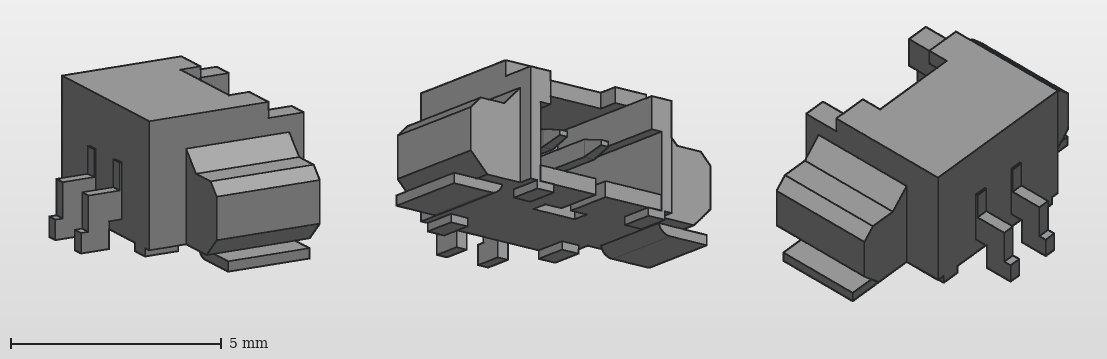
import cadquery as cq


body_width = 4.26
body_depth = 4.2
body_height = 3.2
roof_thickness = 0.4
roof_side_depth = 3.24
roof_middle_depth = 2.69
roof_notch_width = 2.37
wall_top = body_height - roof_thickness

cavity_start = 0.6
floor_thickness = 0.4
cavity_upper_width = 3.06
cavity_lower_width = 3.66
cavity_step_height = 1.97
floor_setback = 0.02

slot_width = 0.29
slot_start = 2.86
slot_cross_width = 1.25
slot_cross_start = 2.4

foot_width = 0.5
foot_depth = 0.9
foot_height = 0.21
foot_center = 1.68

wing_span = 7.26
wing_start = 1.0
wing_end = 3.8
wing_height = 1.88
wing_top_chamfer = 0.3
wing_bottom_chamfer = 0.5
wing_gusset = 0.49

tab_span = 7.65
tab_start = 1.2
tab_end = 3.41
tab_thickness = 0.26
tab_inner = 2.37
tab_bend_radius = 0.34

pin_pitch = 1.25
pin_width = 0.31
pin_top = 1.82
pin_protrusion = 0.05
pin_embed = 0.3
arm_top = 1.13
arm_bottom = 0.41
arm_reach = 0.9
leg_back = 0.34
toe_top = 0.23
toe_reach = 1.1
toe_bottom = -0.28
blade_taper_start = 2.95
blade_tip = 3.55
blade_tip_width = 0.22
blade_height = 0.44
blade_tip_height = 0.13


def block(x_range, y_range, z_range):
    """Axis-aligned box between the given limits."""
    (x0, x1), (y0, y1), (z0, z1) = x_range, y_range, z_range
    return cq.Workplane("XY").box(x1 - x0, y1 - y0, z1 - z0, centered=False).translate((x0, y0, z0))


def centered_block(width, y_range, z_range):
    """Box of the given width, symmetric about X = 0."""
    return block((-width / 2, width / 2), y_range, z_range)


def both_sides(feature):
    """The feature together with its mirror image across X = 0."""
    return feature.union(feature.mirror("YZ"))


def extrude_along_y(profile, y_start, y_end):
    """Extrude an XZ profile between two Y positions."""
    return profile.extrude(y_start - y_end).translate((0, y_start, 0))


def make_shell():
    """Housing block with its stepped roof, before the cavity is cut."""
    walls = centered_block(body_width, (0, body_depth), (0, wall_top))
    roof_z = (wall_top, body_height)
    roof = centered_block(body_width, (0, roof_side_depth), roof_z)
    notch = centered_block(roof_notch_width, (roof_middle_depth, roof_side_depth), roof_z)
    return walls.union(roof.cut(notch))


def make_cavity():
    """Mating cavity, wider below the step, with the floor edge set back."""
    cavity_y = (cavity_start, body_depth)
    lower = centered_block(cavity_lower_width, cavity_y, (floor_thickness, cavity_step_height))
    upper = centered_block(cavity_upper_width, cavity_y, (cavity_step_height, wall_top))
    setback_y = (body_depth - floor_setback, body_depth)
    setback = centered_block(cavity_lower_width, setback_y, (0, floor_thickness))
    return lower.union(upper).union(setback)


def make_floor_slot():
    """T-shaped opening through the cavity floor."""
    floor_z = (0, floor_thickness)
    stem = centered_block(slot_width, (slot_start, body_depth), floor_z)
    cross = centered_block(slot_cross_width, (slot_cross_start, slot_start), floor_z)
    return stem.union(cross)


def make_feet():
    """Four feet, one pair along the front edge and one along the back."""
    foot_x = (foot_center - foot_width / 2, foot_center + foot_width / 2)
    foot_z = (-foot_height, 0)
    front = block(foot_x, (0, foot_depth), foot_z)
    back = block(foot_x, (body_depth - foot_depth, body_depth), foot_z)
    return both_sides(front.union(back))


def make_wings():
    """Chamfered wings joined to the housing by 45-degree gussets."""
    inner = body_width / 2
    outer = wing_span / 2
    profile = (
        cq.Workplane("XZ")
        .moveTo(inner, 0)
        .lineTo(outer - wing_bottom_chamfer, 0)
        .lineTo(outer, wing_bottom_chamfer)
        .lineTo(outer, wing_height - wing_top_chamfer)
        .lineTo(outer - wing_top_chamfer, wing_height)
        .lineTo(inner + wing_gusset, wing_height)
        .lineTo(inner, wing_height + wing_gusset)
        .close()
    )
    return both_sides(extrude_along_y(profile, wing_start, wing_end))


def make_tabs():
    """Flat solder tabs whose inner end curves up into the wing."""
    center_z = tab_bend_radius - tab_thickness
    bend_length = (tab_bend_radius**2 - center_z**2) ** 0.5
    profile = (
        cq.Workplane("XZ")
        .moveTo(tab_inner, 0)
        .lineTo(tab_span / 2, 0)
        .lineTo(tab_span / 2, -tab_thickness)
        .lineTo(tab_inner + bend_length, -tab_thickness)
        .radiusArc((tab_inner, 0), tab_bend_radius)
        .close()
    )
    return both_sides(extrude_along_y(profile, tab_start, tab_end))


def make_pin():
    """Contact centred on X = 0: stepped solder leg and tapered mating blade."""
    leg = (
        cq.Workplane("YZ")
        .moveTo(pin_embed, pin_top)
        .lineTo(-pin_protrusion, pin_top)
        .lineTo(-pin_protrusion, arm_top)
        .lineTo(-arm_reach, arm_top)
        .lineTo(-arm_reach, toe_top)
        .lineTo(-toe_reach, toe_top)
        .lineTo(-toe_reach, toe_bottom)
        .lineTo(-leg_back, toe_bottom)
        .lineTo(-leg_back, arm_bottom)
        .lineTo(pin_embed, arm_bottom)
        .close()
        .extrude(pin_width / 2, both=True)
    )
    blade = centered_block(pin_width, (0, blade_taper_start), (pin_top - blade_height, pin_top))
    tip = (
        cq.Workplane("XZ", origin=(0, blade_taper_start, pin_top - blade_height / 2))
        .rect(pin_width, blade_height)
        .workplane(offset=blade_taper_start - blade_tip)
        .rect(blade_tip_width, blade_tip_height)
        .loft(combine=True)
    )
    return leg.union(blade).union(tip)


housing = make_shell().cut(make_cavity()).cut(make_floor_slot())
housing = housing.union(make_wings()).union(make_tabs()).union(make_feet())

pin = make_pin()
for pin_x in (-pin_pitch / 2, pin_pitch / 2):
    housing = housing.union(pin.translate((pin_x, 0, 0)))

result = housing